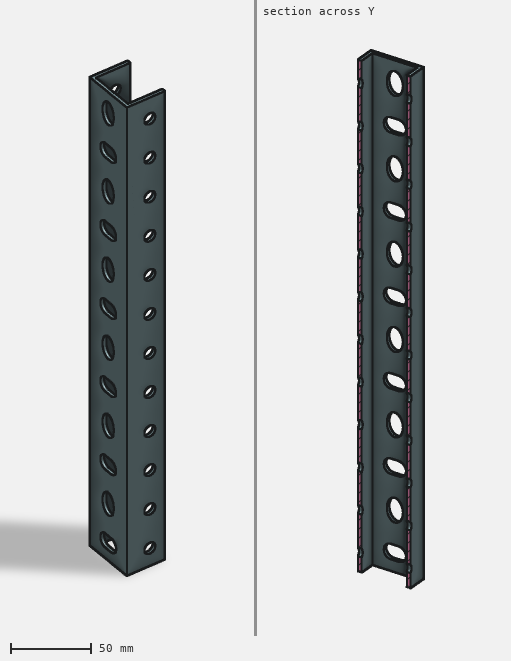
import cadquery as cq

length = 360.0
width = 39.2
depth = 29.0
wall = 3.0

hole_count = 12
pitch = length / hole_count
first_hole_z = 13.5

wide_slot_length = 16.5
wide_slot_width = 10.8
tall_oval_height = 17.3
tall_oval_width = 12.0

flange_hole_diameter = 8.3
flange_hole_y = 17.5


def make_channel():
    outer = cq.Workplane("XY").box(width, depth, length, centered=(True, False, False))
    inner = (
        cq.Workplane("XY")
        .box(width - 2 * wall, depth - wall, length, centered=(True, False, False))
        .translate((0, wall, 0))
    )
    return outer.cut(inner)


def wide_slots(heights):
    """Round-ended cutters through the web, lying along X."""
    return (
        cq.Workplane("XZ")
        .pushPoints([(0, z) for z in heights])
        .slot2D(wide_slot_length, wide_slot_width)
        .extrude(-wall)
    )


def tall_ovals(heights):
    """Elliptical cutters through the web, standing along Z."""
    return (
        cq.Workplane("XZ")
        .pushPoints([(0, z) for z in heights])
        .ellipse(tall_oval_width / 2, tall_oval_height / 2)
        .extrude(-wall)
    )


def flange_holes(heights):
    """Cylinders along X that pass through both flanges."""
    return (
        cq.Workplane("YZ")
        .pushPoints([(flange_hole_y, z) for z in heights])
        .circle(flange_hole_diameter / 2)
        .extrude(width / 2, both=True)
    )


hole_heights = [first_hole_z + i * pitch for i in range(hole_count)]

result = (
    make_channel()
    .cut(wide_slots(hole_heights[0::2]))
    .cut(tall_ovals(hole_heights[1::2]))
    .cut(flange_holes(hole_heights))
)